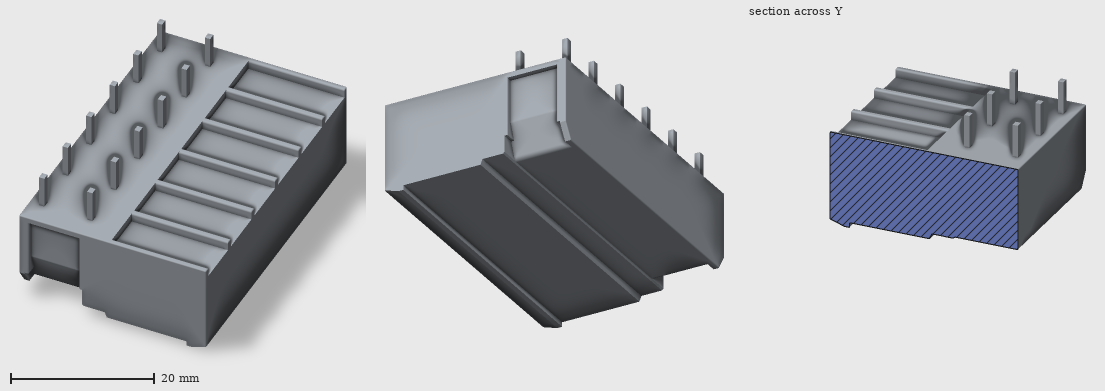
import cadquery as cq
import math

length = 45.7
width = 29.0
total_height = 19.3
poles = 6
pitch = length / poles
edge_radius = 0.2
front_wall = 0.9

front_depth = 12.55
middle_depth = 12.75
rear_depth = 13.6
toe_depth = 14.3
front_section = 9.8
ramp_start = 13.3
ramp_end = 13.62
toe_start = 25.95
toe_flat = 0.8

corner_cut_top = 10.2
corner_cut_y = 1.5

pocket_start = 14.1
pocket_depth = 1.35
rib_width = 0.95
end_wall = 0.85
rib_radius = 0.27

recess_left = 1.5
recess_right = 9.33
recess_top = 0.85
recess_depth = 0.95
recess_slope_start = 7.55
recess_inner_depth = 2.95
wide_recess_top = 9.95
recess_edge_radius = 0.25
slope_top_radius = 0.6
slope_bottom_radius = 0.8

pin_height = total_height - toe_depth
pin_x_size = 0.82
pin_y_size = 1.05
pin_rows = 2
first_pin_x = 1.95
pin_row_spacing = 7.45
pin_embed = 0.45


def corner_cut(side):
    """Triangular prism that trims a lower corner of the front wall."""
    face_y = side * length / 2
    section = [
        (face_y, -corner_cut_top),
        (face_y - side * corner_cut_y, -front_depth),
        (face_y, -front_depth),
    ]
    return cq.Workplane("YZ").polyline(section).close().extrude(front_wall)


def housing():
    """Block with the stepped underside, trimmed corners and rounded outer edges."""
    outline = [
        (0, 0),
        (width, 0),
        (width, -rear_depth),
        (toe_start + toe_flat, -toe_depth),
        (toe_start, -toe_depth),
        (toe_start, -rear_depth),
        (ramp_end, -rear_depth),
        (ramp_start, -middle_depth),
        (front_section + middle_depth - front_depth, -middle_depth),
        (front_section, -front_depth),
        (0, -front_depth),
    ]
    block = cq.Workplane("XZ").polyline(outline).close().extrude(length / 2, both=True)
    for side in (-1, 1):
        block = block.cut(corner_cut(side))
    return block.edges("<X or >Z or (|Z and >X)").fillet(edge_radius)


def top_pocket(index):
    """Pocket of one pole; its section flares at the top to round the ribs beside it."""
    low_wall = end_wall if index == 0 else rib_width / 2
    high_wall = end_wall if index == poles - 1 else rib_width / 2
    low = -length / 2 + index * pitch + low_wall
    high = -length / 2 + (index + 1) * pitch - high_wall
    arc_inset = rib_radius * (1 - math.sqrt(0.5))
    return (
        cq.Workplane("YZ", origin=(pocket_start, 0, 0))
        .moveTo(low - rib_radius, 0)
        .threePointArc((low - arc_inset, -arc_inset), (low, -rib_radius))
        .lineTo(low, -pocket_depth)
        .lineTo(high, -pocket_depth)
        .lineTo(high, -rib_radius)
        .threePointArc((high + arc_inset, -arc_inset), (high + rib_radius, 0))
        .close()
        .extrude(width - pocket_start)
    )


def end_recess(side):
    """Recess volume: upright back face, then a slope running deeper toward the bottom."""
    face_y = side * length / 2
    section = [
        (face_y, -recess_top),
        (face_y - side * recess_depth, -recess_top),
        (face_y - side * recess_depth, -recess_slope_start),
        (face_y - side * recess_inner_depth, -front_depth),
        (face_y, -front_depth),
    ]
    volume = (
        cq.Workplane("YZ", origin=(front_wall, 0, 0))
        .polyline(section)
        .close()
        .extrude(front_section - front_wall)
    )
    for x_low, x_high in ((front_wall, recess_left), (recess_right, front_section)):
        upper_margin = cq.Workplane("XY", origin=(x_low, 0, -wide_recess_top)).box(
            x_high - x_low, length, wide_recess_top, centered=(False, True, False)
        )
        volume = volume.cut(upper_margin)
    return volume


def round_edge(body, midpoint, radius):
    """Fillet the straight edge whose midpoint is given."""
    reach = 0.05
    low = tuple(value - reach for value in midpoint)
    high = tuple(value + reach for value in midpoint)
    return body.edges(cq.selectors.BoxSelector(low, high)).fillet(radius)


def add_end_recess(body, side):
    """Cut one end recess and round its mouth and both edges of its slope."""
    face_y = side * length / 2
    body = body.cut(end_recess(side))
    mouth_z = -(recess_top + wide_recess_top) / 2
    for x in (recess_left, recess_right):
        body = round_edge(body, (x, face_y, mouth_z), recess_edge_radius)
    slope_top = ((recess_left + recess_right) / 2, face_y - side * recess_depth, -recess_slope_start)
    body = round_edge(body, slope_top, slope_top_radius)
    slope_bottom = ((front_wall + front_section) / 2, face_y - side * recess_inner_depth, -front_depth)
    return round_edge(body, slope_bottom, slope_bottom_radius)


def pins():
    """Two rows of rectangular pins, one per pole, rooted in the housing top."""
    spots = [
        (first_pin_x + row * pin_row_spacing, (pole - (poles - 1) / 2) * pitch)
        for row in range(pin_rows)
        for pole in range(poles)
    ]
    return (
        cq.Workplane("XY", origin=(0, 0, -pin_embed))
        .pushPoints(spots)
        .rect(pin_x_size, pin_y_size)
        .extrude(pin_height + pin_embed)
    )


result = housing()
for pole_index in range(poles):
    result = result.cut(top_pocket(pole_index))
for end_side in (-1, 1):
    result = add_end_recess(result, end_side)
result = result.union(pins())